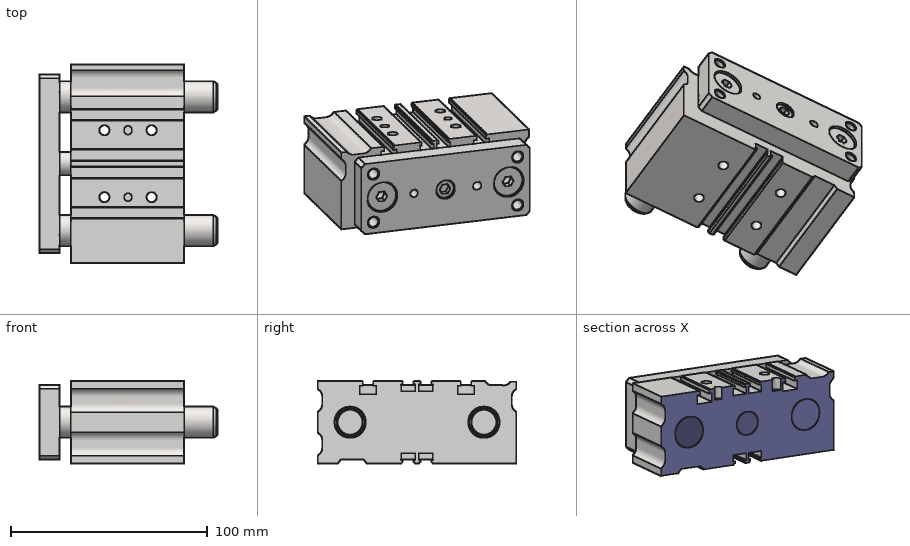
import cadquery as cq
import math


plate_thickness = 10.25
plate_width = 90.75
plate_height = 38.0
plate_chamfer = 2.0

housing_start = 16.0
housing_length = 57.5
housing_width = 101.0
housing_height = 42.0

rod_end = 90.5
rod_diameter = 16.0
rod_spacing = 68.0
rod_recess = 1.0
rod_face_chamfer = 0.4
rod_taper_length = 2.25
rod_taper_depth = 0.85
rod_tip_chamfer_length = 0.7
rod_tip_chamfer_depth = 0.85

piston_rod_diameter = 12.0
piston_rod_depth = 40.0

screw_head_diameter = 10.0
screw_head_height = 6.0
screw_thread_diameter = 6.0
screw_thread_depth = 10.0
screw_recess = 0.9
screw_head_chamfer = 0.4

hex_across_flats = 5.0
rod_hex_depth = 4.0
screw_hex_depth = 3.0
drill_point_height = 1.5

corner_hole_diameter = 5.2
corner_hole_chamfer = 0.5
corner_hole_spacing_y = 77.6
corner_hole_spacing_z = 26.0
pin_diameter = 4.0
pin_slot_length = 4.5
pin_spacing = 34.0
pin_depth = 6.0

mount_hole_diameter = 5.0
mount_hole_spacing = 24.0
mount_center_x = 45.0

scoop_depth = 2.3
scoop_lip = 0.7
scoop_lip_depth = 0.7
side_scoop_mouth = 11.9
side_scoop_flat = 3.8
side_scoop_z = 11.1
top_scoop_mouth = 13.4
top_scoop_flat = 5.2
top_scoop_y = 41.1
rail_drop = 0.4
rail_width = 3.0

outer_slot_y = 24.9
outer_slot_opening = 5.2
outer_slot_undercut = 1.5
outer_slot_lip = 2.4
outer_slot_depth = 6.8
inner_slot_y = 4.5
inner_slot_opening = 5.4
inner_slot_undercut = 0.9
inner_slot_lip = 1.8
inner_slot_depth = 5.2
top_slot_chamfer = 0.5
bottom_slot_chamfer = 0.9
trapezoid_y = -32.9
trapezoid_mouth = 14.8
trapezoid_flat = 11.4
trapezoid_depth = 2.0

housing_end = housing_start + housing_length
half_width = housing_width / 2
half_height = housing_height / 2
rod_y_positions = (-rod_spacing / 2, rod_spacing / 2)
pin_y = pin_spacing / 2
hex_across_corners = hex_across_flats / math.cos(math.pi / 6)


def cylinder_x(diameter, start, end, y=0.0):
    """Round bar along X between two X positions."""
    plane = cq.Workplane("YZ", origin=(start, y, 0))
    return plane.circle(diameter / 2).extrude(end - start)


def hex_socket(start, depth, y=0.0):
    """Hexagonal socket along X, with its corners pointing along Y."""
    plane = cq.Workplane("YZ", origin=(start, y, 0))
    return plane.polygon(6, hex_across_corners).extrude(depth)


def section_on_face(outward, y, z):
    """Section across the housing whose local Y axis points out of the given face."""
    normal = cq.Vector(1, 0, 0)
    along_face = cq.Vector(*outward).cross(normal)
    return cq.Workplane(cq.Plane((housing_start, y, z), along_face, normal))


def symmetric_groove(section, half_outline):
    """Groove along the whole housing from one half outline, listed from floor to mouth."""
    mirrored = [(-across, up) for across, up in reversed(half_outline)]
    return section.polyline(half_outline + mirrored).close().extrude(housing_length)


TOP = (0, 0, 1)
BOTTOM = (0, 0, -1)
LEFT = (0, 1, 0)
RIGHT = (0, -1, 0)


def scoop_half(section, side, flat, arc_end, mouth):
    """Half of a scoop: flat floor, then an arc tangent to it, then a line to the mouth."""
    arc_end_across, arc_end_depth = arc_end
    outline = (
        section.lineTo(0, -scoop_depth)
        .lineTo(side * flat / 2, -scoop_depth)
        .tangentArcPoint((side * arc_end_across, -arc_end_depth), relative=False)
        .lineTo(side * mouth / 2, 0)
        .close()
    )
    return outline.extrude(housing_length)


def side_scoop(face, y, z):
    """Scoop in a side face with a bevelled lip on both sides."""
    section = section_on_face(face, y, z)
    arc_end = (side_scoop_mouth / 2 - scoop_lip, scoop_lip_depth)
    first_half = scoop_half(section, 1, side_scoop_flat, arc_end, side_scoop_mouth)
    second_half = scoop_half(section, -1, side_scoop_flat, arc_end, side_scoop_mouth)
    return first_half.union(second_half)


def top_scoop():
    """Scoop in the top face: a bevelled lip on one side, the lowered rail on the other."""
    section = section_on_face(TOP, top_scoop_y, half_height)
    lip_end = (top_scoop_mouth / 2 - scoop_lip, scoop_lip_depth)
    rail_across = half_width - rail_width - top_scoop_y
    lip_half = scoop_half(section, -1, top_scoop_flat, lip_end, top_scoop_mouth)
    rail_half = scoop_half(section, 1, top_scoop_flat, (rail_across, rail_drop), 2 * rail_across)
    return lip_half.union(rail_half)


def t_slot(section, opening, undercut, lip, depth, chamfer):
    """T-slot with a chamfered mouth."""
    half = opening / 2
    outline = [
        (half + undercut, -depth),
        (half + undercut, -lip),
        (half, -lip),
        (half, -chamfer),
        (half + chamfer, 0),
    ]
    return symmetric_groove(section, outline)


def outer_t_slot(y):
    """Wide T-slot in the top face, near a guide rod."""
    section = section_on_face(TOP, y, half_height)
    return t_slot(
        section, outer_slot_opening, outer_slot_undercut, outer_slot_lip, outer_slot_depth, top_slot_chamfer
    )


def inner_t_slot(face, y, z, chamfer):
    """Narrow T-slot beside the centre rib of the top or bottom face."""
    section = section_on_face(face, y, z)
    return t_slot(
        section, inner_slot_opening, inner_slot_undercut, inner_slot_lip, inner_slot_depth, chamfer
    )


def bottom_trapezoid():
    """Shallow groove with sloping walls in the bottom face."""
    outline = [(trapezoid_flat / 2, -trapezoid_depth), (trapezoid_mouth / 2, 0)]
    return symmetric_groove(section_on_face(BOTTOM, trapezoid_y, -half_height), outline)


def lowered_rail():
    """Strip removed from the top face between the top scoop and the left side."""
    corner = (housing_start, half_width - rail_width, half_height - rail_drop)
    strip = cq.Workplane("XY", origin=corner)
    return strip.box(housing_length, rail_width, rail_drop, centered=False)


def mounting_holes():
    """Four holes through the full height of the housing."""
    plane = cq.Workplane("XY", origin=(mount_center_x, 0, -half_height))
    holes = plane.rect(mount_hole_spacing, pin_spacing, forConstruction=True).vertices()
    return holes.circle(mount_hole_diameter / 2).extrude(housing_height)


def housing_pin_holes():
    """Blind locating holes in the top face: one round and one slotted along Y."""
    plane = cq.Workplane("XY", origin=(mount_center_x, 0, half_height))
    round_hole = plane.center(0, -pin_y).circle(pin_diameter / 2).extrude(-pin_depth)
    slotted_hole = plane.center(0, pin_y).slot2D(pin_slot_length, pin_diameter, 90).extrude(-pin_depth)
    return round_hole.union(slotted_hole)


def make_housing():
    blank = cq.Workplane("YZ", origin=(housing_start, 0, 0)).rect(housing_width, housing_height)
    body = blank.extrude(housing_length)
    body = body.cut(lowered_rail()).cut(top_scoop())
    side_scoops = (
        (LEFT, half_width, side_scoop_z),
        (RIGHT, -half_width, side_scoop_z),
        (RIGHT, -half_width, -side_scoop_z),
    )
    for face, y, z in side_scoops:
        body = body.cut(side_scoop(face, y, z))

    for side in (-1, 1):
        inner_y = side * inner_slot_y
        body = body.cut(outer_t_slot(side * outer_slot_y))
        body = body.cut(inner_t_slot(TOP, inner_y, half_height, top_slot_chamfer))
        body = body.cut(inner_t_slot(BOTTOM, inner_y, -half_height, bottom_slot_chamfer))
    body = body.cut(bottom_trapezoid())

    body = body.cut(mounting_holes()).cut(housing_pin_holes())
    for y in rod_y_positions:
        body = body.cut(cylinder_x(rod_diameter, housing_start, housing_end, y))
    return body.cut(cylinder_x(piston_rod_diameter, housing_start, housing_start + piston_rod_depth))


def plate_corner_holes(plate):
    """Four through holes with a countersunk edge on the outer face."""
    face = plate.faces("<X").workplane(origin=(0, 0, 0))
    corners = face.rect(corner_hole_spacing_y, corner_hole_spacing_z, forConstruction=True).vertices()
    return corners.cskHole(corner_hole_diameter, corner_hole_diameter + 2 * corner_hole_chamfer, 90)


def plate_pin_holes():
    """Through locating holes: one round and one slotted along Y."""
    plane = cq.Workplane("YZ")
    round_hole = plane.center(pin_y, 0).circle(pin_diameter / 2).extrude(plate_thickness)
    slotted_hole = plane.center(-pin_y, 0).slot2D(pin_slot_length, pin_diameter).extrude(plate_thickness)
    return round_hole.union(slotted_hole)


def make_plate():
    plate = cq.Workplane("YZ").rect(plate_width, plate_height).extrude(plate_thickness)
    plate = plate.edges("|X").chamfer(plate_chamfer)
    plate = plate_corner_holes(plate)
    plate = plate.cut(plate_pin_holes())
    for y in rod_y_positions:
        plate = plate.cut(cylinder_x(rod_diameter, 0, plate_thickness, y))
    plate = plate.cut(cylinder_x(screw_head_diameter, 0, screw_recess + screw_head_height))
    return plate.cut(cylinder_x(screw_thread_diameter, 0, plate_thickness))


def make_guide_rod(y):
    """Rod with a chamfered, socketed end in the plate and a free end tapered in two steps."""
    radius = rod_diameter / 2
    taper_radius = radius - rod_taper_depth
    outline = [
        (rod_recess, 0),
        (rod_recess, radius - rod_face_chamfer),
        (rod_recess + rod_face_chamfer, radius),
        (rod_end - rod_taper_length, radius),
        (rod_end - rod_tip_chamfer_length, taper_radius),
        (rod_end, taper_radius - rod_tip_chamfer_depth),
        (rod_end, 0),
    ]
    rod = cq.Workplane("XY").polyline(outline).close().revolve(360, (0, 0, 0), (1, 0, 0))
    rod = rod.cut(hex_socket(rod_recess, rod_hex_depth))
    socket_floor = rod_recess + rod_hex_depth
    drill_point = cq.Solid.makeCone(
        hex_across_flats / 2, 0, drill_point_height, pnt=(socket_floor, 0, 0), dir=(1, 0, 0)
    )
    return rod.cut(cq.Workplane(drill_point)).translate((0, y, 0))


def make_piston_rod():
    """Rod from the back of the plate into the housing, bored for the plate screw."""
    rod = cylinder_x(piston_rod_diameter, plate_thickness, housing_start + piston_rod_depth)
    thread = cylinder_x(screw_thread_diameter, plate_thickness, plate_thickness + screw_thread_depth)
    return rod.cut(thread)


def make_screw():
    """Socket head screw that holds the plate on the piston rod."""
    head_end = screw_recess + screw_head_height
    head = cylinder_x(screw_head_diameter, screw_recess, head_end)
    head = head.faces("<X").edges().chamfer(screw_head_chamfer)
    shank = cylinder_x(screw_thread_diameter, head_end, plate_thickness + screw_thread_depth)
    return head.union(shank).cut(hex_socket(screw_recess, screw_hex_depth))


housing = make_housing()
plate = make_plate()
guide_rods = [make_guide_rod(y) for y in rod_y_positions]
piston_rod = make_piston_rod()
screw = make_screw()

result = cq.Compound.makeCompound(
    [housing.val(), plate.val(), *[rod.val() for rod in guide_rods], piston_rod.val(), screw.val()]
)